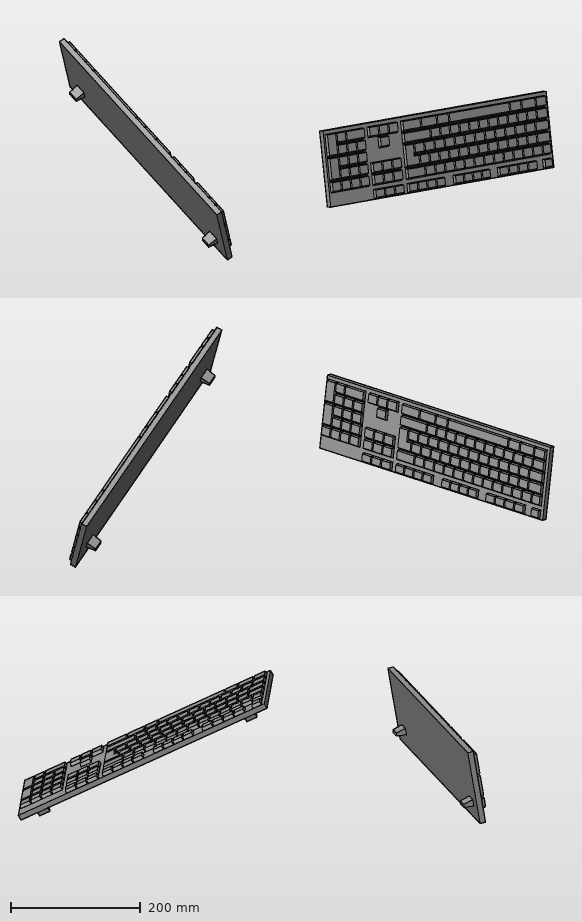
import cadquery as cq
import math


case_width = 432.5
case_length = 118.5
case_thickness = 9.0
lean_angle = 9.6

key_height = 5.0
gap_across = 1.0
gap_along = 1.7
side_taper = 1.0
front_taper = 1.0
rear_taper = 2.5

first_row = 5.5
row_pitch = 18.5
function_row = 103.0
function_row_depth = 16.5

main_left = 4.8
main_right = 283.7
navigation_left = 292.0
navigation_right = 348.5
numpad_left = 356.5
numpad_right = 430.0
navigation_columns = 3
numpad_columns = 4

space_row_edges = (main_left, 26.0, 53.5, 76.0, 193.8, 217.0, 248.3, main_right)

typing_rows = (
    (1, 26.5, 232.0, 11),
    (2, 31.0, 265.5, 12),
    (3, 30.3, 257.5, 12),
    (4, 21.5, 248.5, 12),
)
enter_leg_row = 2

escape_right = 20.8
function_groups = ((34.0, 108.5), (125.0, 194.0), (212.5, main_right))
keys_per_group = 4

foot_lefts = (28.5, 392.7)
foot_width = 17.7
foot_flare = 1.0
foot_embed = 1.5
foot_top = 92.0
foot_bottom = 97.0
foot_root_top = 84.0
foot_root_bottom = 96.0


def key_cap(left, right, front, rear):
    """Tapered key in a cell of the deck; the row gap is left free at the rear of the cell."""
    low_left = left + gap_across / 2
    low_right = right - gap_across / 2
    low_front = front
    low_rear = rear - gap_along
    top_left = low_left + side_taper
    top_right = low_right - side_taper
    top_front = low_front + front_taper
    top_rear = low_rear - rear_taper
    return (
        cq.Workplane("XZ", origin=(0, case_thickness, 0))
        .center((low_left + low_right) / 2, -(low_front + low_rear) / 2)
        .rect(low_right - low_left, low_rear - low_front)
        .workplane(offset=-key_height)
        .center(
            (top_left + top_right - low_left - low_right) / 2,
            (low_front + low_rear - top_front - top_rear) / 2,
        )
        .rect(top_right - top_left, top_rear - top_front)
        .loft(combine=False)
        .val()
    )


def row_start(row):
    """Depth of a row below the front edge, measured along the deck."""
    return first_row + row * row_pitch


def equal_keys(left, right, count, front, rear):
    """Equal keys side by side between left and right."""
    pitch = (right - left) / count
    return [key_cap(left + i * pitch, left + (i + 1) * pitch, front, rear) for i in range(count)]


def key_run(left, right, count, row, rows_tall=1):
    return equal_keys(left, right, count, row_start(row), row_start(row + rows_tall))


def function_run(left, right, count):
    return equal_keys(left, right, count, function_row, function_row + function_row_depth)


def main_keys():
    caps = []
    for left, right in zip(space_row_edges, space_row_edges[1:]):
        caps += key_run(left, right, 1, 0)

    for row, left, right, count in typing_rows:
        caps += key_run(main_left, left, 1, row)
        caps += key_run(left, right, count, row)
        caps += key_run(right, main_right, 1, row, rows_tall=2 if row == enter_leg_row else 1)
    return caps


def function_keys():
    caps = function_run(main_left, escape_right, 1)
    for left, right in function_groups:
        caps += function_run(left, right, keys_per_group)
    return caps + function_run(navigation_left, navigation_right, navigation_columns)


def navigation_keys():
    pitch = (navigation_right - navigation_left) / navigation_columns
    caps = key_run(navigation_left + pitch, navigation_right - pitch, 1, 1)
    for row in (0, 3, 4):
        caps += key_run(navigation_left, navigation_right, navigation_columns, row)
    return caps


def numpad_keys():
    pitch = (numpad_right - numpad_left) / numpad_columns
    last_column = numpad_right - pitch
    zero_right = numpad_left + 2 * pitch
    caps = key_run(numpad_left, zero_right, 1, 0)
    caps += key_run(zero_right, last_column, 1, 0)
    for row in (1, 2, 3):
        caps += key_run(numpad_left, last_column, numpad_columns - 1, row)
    caps += key_run(numpad_left, numpad_right, numpad_columns, 4)
    for row in (0, 2):
        caps += key_run(last_column, numpad_right, 1, row, rows_tall=2)
    return caps


def foot(left, case_top):
    """Wedge foot from the leaning back of the case out to the plane Y = 0."""
    lean = math.radians(lean_angle)
    tip_height = foot_bottom - foot_top
    root_height = foot_root_bottom - foot_root_top
    middle = left + foot_width / 2
    root_y = foot_root_bottom * math.tan(lean) + foot_embed
    tip_z = case_top - (foot_top + foot_bottom) / 2
    root_z = case_top - (foot_root_top + foot_root_bottom) / 2
    return (
        cq.Workplane("XZ")
        .center(middle, tip_z)
        .rect(foot_width, tip_height)
        .workplane(offset=-root_y)
        .center(0, root_z - tip_z)
        .rect(foot_width + 2 * foot_flare, root_height)
        .loft()
    )


case = cq.Workplane("XY").box(case_width, case_thickness, case_length, centered=False)
case = case.translate((0, 0, -case_length))

keys = main_keys() + function_keys() + navigation_keys() + numpad_keys()
keyboard = cq.Workplane(case.val().fuse(*keys))

result = keyboard.rotate((0, 0, 0), (1, 0, 0), lean_angle)

case_top = case_thickness * math.sin(math.radians(lean_angle))
for foot_left in foot_lefts:
    result = result.union(foot(foot_left, case_top))